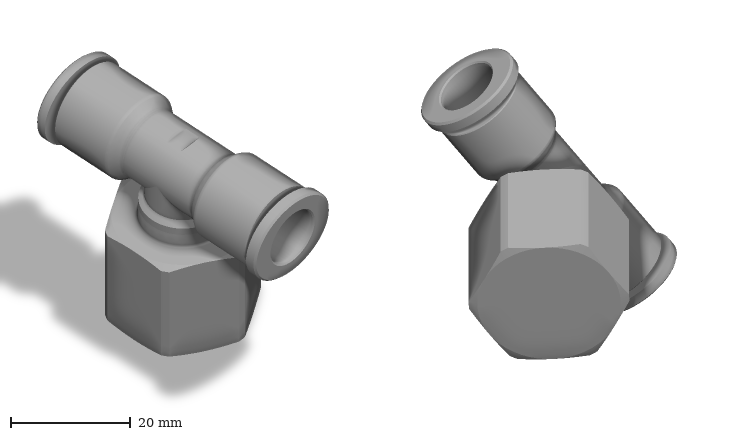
import cadquery as cq
import math


length = 50.0
half_length = length / 2
waist_radius = 6.5
sleeve_radius = 8.15
sleeve_end = 21.75
shoulder_outer = 10.05
shoulder_inner = 7.9
shoulder_blend = 0.95
sleeve_edge = 0.15

collar_neck_radius = 5.85
collar_thickness = 2.05
collar_half_width = 9.25
collar_half_height = 8.0
collar_edge = 0.35
bore_radius = 5.2
bore_depth = 15.0
bore_edge = 0.25

notch_floor = 6.05
notch_half_floor = 1.5
notch_half_top = 1.95

overall_height = 40.35
bottom = sleeve_radius - overall_height
hex_top = -11.4
across_flats = 24.0
across_corners = across_flats / math.cos(math.pi / 6)
corner_radius = 13.45
hex_face_radius = across_flats / 2
hex_edge_drop = 0.5

neck_radius = 7.5
neck_shoulder_top = -6.3
neck_shoulder_bottom = neck_shoulder_top - (neck_radius - waist_radius)
neck_taper_top = -8.75
neck_foot_radius = 7.7
neck_foot_blend = 0.5


def circles_at(x):
    """Selector for the circular edges of the run at both +x and -x."""
    reach = 0.05
    size = 2 * sleeve_radius
    right = cq.selectors.BoxSelector((x - reach, -size, -size), (x + reach, size, size))
    left = cq.selectors.BoxSelector((-x - reach, -size, -size), (-x + reach, size, size))
    return right + left


def make_run():
    """Solid of revolution about X: waist, two shoulders, two sleeves and the collar necks."""
    collar_face = half_length - collar_thickness
    profile = [
        (-collar_face, 0),
        (-collar_face, collar_neck_radius),
        (-sleeve_end, collar_neck_radius),
        (-sleeve_end, sleeve_radius),
        (-shoulder_outer, sleeve_radius),
        (-shoulder_inner, waist_radius),
        (shoulder_inner, waist_radius),
        (shoulder_outer, sleeve_radius),
        (sleeve_end, sleeve_radius),
        (sleeve_end, collar_neck_radius),
        (collar_face, collar_neck_radius),
        (collar_face, 0),
    ]
    run = cq.Workplane("XY").polyline(profile).close().revolve(360, (0, 0), (1, 0))
    for x in (shoulder_inner, shoulder_outer):
        run = run.edges(circles_at(x)).fillet(shoulder_blend)
    outer_rims = cq.selectors.RadiusNthSelector(-1)
    run = run.edges(circles_at(sleeve_end)).edges(outer_rims).chamfer(sleeve_edge)
    return run


def make_collar(side):
    """Oval collar at the +X (side = 1) or -X (side = -1) end, with a bevelled outer edge."""
    collar = (
        cq.Workplane("YZ", origin=(side * (half_length - collar_thickness), 0, 0))
        .ellipse(collar_half_width, collar_half_height)
        .extrude(side * collar_thickness)
    )
    return collar.faces(">X" if side > 0 else "<X").edges().chamfer(collar_edge)


def make_bore(side):
    """Blind tube bore with a small lead-in chamfer, opening at one end of the run."""
    mouth = side * half_length
    profile = [
        (mouth, 0),
        (mouth, bore_radius + bore_edge),
        (mouth - side * bore_edge, bore_radius),
        (mouth - side * bore_depth, bore_radius),
        (mouth - side * bore_depth, 0),
    ]
    return cq.Workplane("XY").polyline(profile).close().revolve(360, (0, 0), (1, 0))


def make_neck():
    """Branch neck turned about Z, ending in a concave foot on the hex."""
    foot_top = hex_top + neck_foot_blend
    foot_edge = neck_foot_radius + neck_foot_blend
    arc_inset = neck_foot_blend * (1 - math.cos(math.pi / 4))
    return (
        cq.Workplane("XZ")
        .moveTo(0, 0)
        .lineTo(waist_radius, 0)
        .lineTo(waist_radius, neck_shoulder_top)
        .lineTo(neck_radius, neck_shoulder_bottom)
        .lineTo(neck_radius, neck_taper_top)
        .lineTo(neck_foot_radius, foot_top)
        .threePointArc((neck_foot_radius + arc_inset, hex_top + arc_inset), (foot_edge, hex_top))
        .lineTo(0, hex_top)
        .close()
        .revolve(360, (0, 0), (0, 1))
    )


def make_hex():
    """Hexagonal socket with turned corners and conical edges at both ends."""
    prism = (
        cq.Workplane("XY", origin=(0, 0, bottom))
        .polygon(6, across_corners)
        .extrude(hex_top - bottom)
    )
    turned_profile = [
        (0, bottom),
        (hex_face_radius, bottom),
        (corner_radius, bottom + hex_edge_drop),
        (corner_radius, hex_top - hex_edge_drop),
        (hex_face_radius, hex_top),
        (0, hex_top),
    ]
    turned = cq.Workplane("XZ").polyline(turned_profile).close().revolve(360, (0, 0), (0, 1))
    return prism.intersect(turned)


def make_notch():
    """Trapezoidal cutter that crosses the top of the waist along Y."""
    profile = [
        (-notch_half_floor, notch_floor),
        (notch_half_floor, notch_floor),
        (notch_half_top, waist_radius),
        (-notch_half_top, waist_radius),
    ]
    return cq.Workplane("XZ").polyline(profile).close().extrude(waist_radius, both=True)


result = make_run().union(make_neck()).union(make_hex())
for end in (-1, 1):
    result = result.union(make_collar(end)).cut(make_bore(end))
result = result.cut(make_notch())